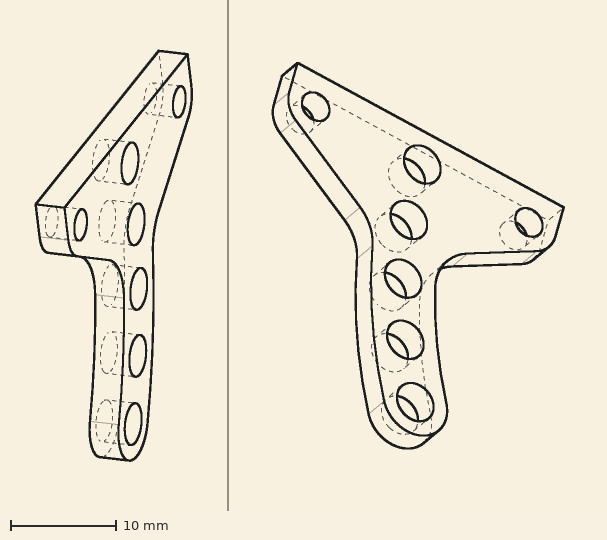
import cadquery as cq
import math

thickness = 3.0

head_tilt = 15.0
mount_hole_diameter = 3.0
mount_hole_offset = 12.065
corner_radius = 3.0
top_edge_height = 3.55
underside_slope = 31.8

arm_radius = 50.0
arm_half_width = 3.5
arm_hole_diameter = 4.0
arm_hole_count = 5
arm_hole_pitch = 7.5
arm_start_angle = 16.7
arm_end_angle = arm_start_angle - (arm_hole_count - 1) * arm_hole_pitch

joint_radius = 5.0

arm_center_y = -arm_radius * math.cos(math.radians(arm_start_angle))
arm_center_z = -arm_radius * math.sin(math.radians(arm_start_angle))

head_half_width = mount_hole_offset + corner_radius
slope = math.radians(underside_slope)
head_tip_z = -mount_hole_offset * math.tan(slope) - corner_radius / math.cos(slope)
head_corner_z = head_tip_z + head_half_width * math.tan(slope)


def arm_point(radius, angle):
    """Return the (y, z) point at a radius and angle about the arm's centre of curvature."""
    a = math.radians(angle)
    return (arm_center_y + radius * math.cos(a), arm_center_z + radius * math.sin(a))


def tilt(y, z):
    """Turn a (y, z) point of the level head into its tilted place."""
    a = math.radians(head_tilt)
    return (y * math.cos(a) - z * math.sin(a), y * math.sin(a) + z * math.cos(a))


def edge_near(point):
    """Select the edge through the thickness that is closest to a (y, z) point."""
    return cq.selectors.NearestToPointSelector((thickness / 2, *point))


def make_disc(point, diameter):
    """Make a round plug through the thickness, centred on a (y, z) point."""
    return cq.Workplane("YZ").center(*point).circle(diameter / 2).extrude(thickness)


def make_head():
    """Make the tilted five-sided head with its two rounded lower corners."""
    lower_left = tilt(head_half_width, head_corner_z)
    lower_right = tilt(-head_half_width, head_corner_z)
    outline = [
        tilt(head_half_width, top_edge_height),
        tilt(-head_half_width, top_edge_height),
        lower_right,
        tilt(0, head_tip_z),
        lower_left,
    ]
    head = cq.Workplane("YZ").polyline(outline).close().extrude(thickness)
    for corner in (lower_left, lower_right):
        head = head.edges("|X").edges(edge_near(corner)).fillet(corner_radius)
    return head


def make_arm():
    """Make the curved arm with its round free end."""
    inner = arm_radius - arm_half_width
    outer = arm_radius + arm_half_width
    middle_angle = (arm_start_angle + arm_end_angle) / 2
    return (
        cq.Workplane("YZ")
        .moveTo(*arm_point(outer, arm_start_angle))
        .threePointArc(arm_point(outer, middle_angle), arm_point(outer, arm_end_angle))
        .tangentArcPoint(arm_point(inner, arm_end_angle), relative=False)
        .threePointArc(arm_point(inner, middle_angle), arm_point(inner, arm_start_angle))
        .close()
        .extrude(thickness)
    )


def round_joints(body):
    """Fillet the two inside corners, found on the arm's sides level with the head's tip."""
    tip_y, tip_z = tilt(0, head_tip_z)
    tip_angle = math.degrees(math.atan2(tip_z - arm_center_z, tip_y - arm_center_y))
    for side in (-arm_half_width, arm_half_width):
        joint = arm_point(arm_radius + side, tip_angle)
        body = body.edges("|X").edges(edge_near(joint)).fillet(joint_radius)
    return body


def cut_holes(body):
    """Drill the two mounting holes and the row of holes along the arm."""
    for y in (-mount_hole_offset, mount_hole_offset):
        body = body.cut(make_disc(tilt(y, 0), mount_hole_diameter))
    for i in range(arm_hole_count):
        center = arm_point(arm_radius, arm_start_angle - i * arm_hole_pitch)
        body = body.cut(make_disc(center, arm_hole_diameter))
    return body


result = cut_holes(round_joints(make_head().union(make_arm())))